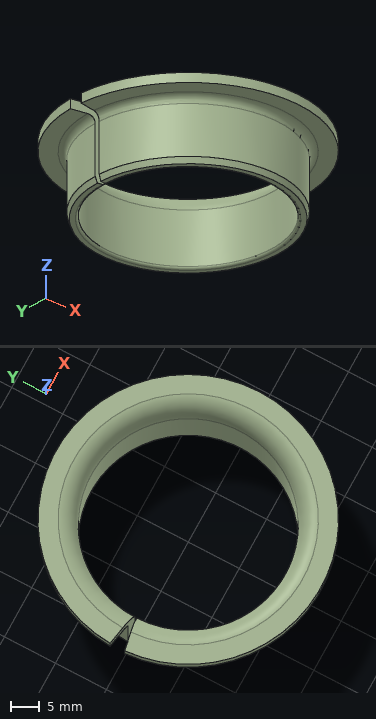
import cadquery as cq
import math

HEIGHT = 15.0
BORE_RADIUS = 19.0
WALL = 2.0
FLANGE_RADIUS = 26.0
OUTER_FILLET = 1.5

CHAMFER_HEIGHT = 1.2
CHAMFER_ANGLE = 20.0

BORE_ROUND = 0.5

SPLIT_APEX_RADIUS = 18.0
SPLIT_HALF_ANGLE = 10.0

DIAGONAL = math.sqrt(0.5)

chamfer_width = CHAMFER_HEIGHT * math.tan(math.radians(CHAMFER_ANGLE))
sleeve_radius = BORE_RADIUS + WALL
flange_bottom = HEIGHT - WALL
mouth_radius = OUTER_FILLET + WALL
bend_center_radius = sleeve_radius + OUTER_FILLET
bend_center_z = flange_bottom - OUTER_FILLET

bore_round_inset = BORE_ROUND * (1 - DIAGONAL)
bore_round_midpoint = (BORE_RADIUS + bore_round_inset, bore_round_inset)


def bend_midpoint(radius):
    """Middle of the quarter-circle bend from sleeve to flange."""
    offset = radius * DIAGONAL
    return (bend_center_radius - offset, bend_center_z + offset)


def make_bushing():
    """Revolve the wall section: sleeve, rounded bend and flange."""
    section = (
        cq.Workplane("XZ")
        .moveTo(BORE_RADIUS, BORE_ROUND)
        .threePointArc(bore_round_midpoint, (BORE_RADIUS + BORE_ROUND, 0))
        .lineTo(sleeve_radius - chamfer_width, 0)
        .lineTo(sleeve_radius, CHAMFER_HEIGHT)
        .lineTo(sleeve_radius, bend_center_z)
        .threePointArc(bend_midpoint(OUTER_FILLET), (bend_center_radius, flange_bottom))
        .lineTo(FLANGE_RADIUS, flange_bottom)
        .lineTo(FLANGE_RADIUS, HEIGHT)
        .lineTo(bend_center_radius, HEIGHT)
        .threePointArc(bend_midpoint(mouth_radius), (BORE_RADIUS, bend_center_z))
        .close()
    )
    bushing = section.revolve(360, (0, 0, 0), (0, 1, 0))
    return bushing.rotate((0, 0, 0), (0, 0, 1), 180)


def make_split():
    """Wedge that opens outward and cuts through the full height."""
    split_end_radius = FLANGE_RADIUS + WALL
    half_width = (split_end_radius - SPLIT_APEX_RADIUS) * math.tan(math.radians(SPLIT_HALF_ANGLE))
    return (
        cq.Workplane("XY")
        .moveTo(-SPLIT_APEX_RADIUS, 0)
        .lineTo(-split_end_radius, half_width)
        .lineTo(-split_end_radius, -half_width)
        .close()
        .extrude(HEIGHT)
    )


result = make_bushing().cut(make_split())